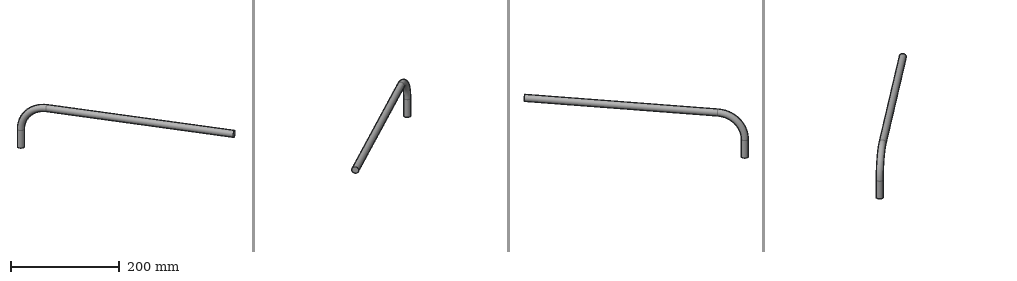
import cadquery as cq

total_length = 416.5
total_height = 93.0
rod_diameter = 13.5
bend_outer_radius = 56.5

rod_radius = rod_diameter / 2
bend_radius = bend_outer_radius - rod_radius
short_leg = total_height - bend_outer_radius
long_leg = total_length - bend_outer_radius

centre_line = (
    cq.Workplane("XZ")
    .lineTo(0, short_leg)
    .radiusArc((bend_radius, short_leg + bend_radius), bend_radius)
    .lineTo(bend_radius + long_leg, short_leg + bend_radius)
)

result = cq.Workplane("XY").circle(rod_radius).sweep(centre_line)